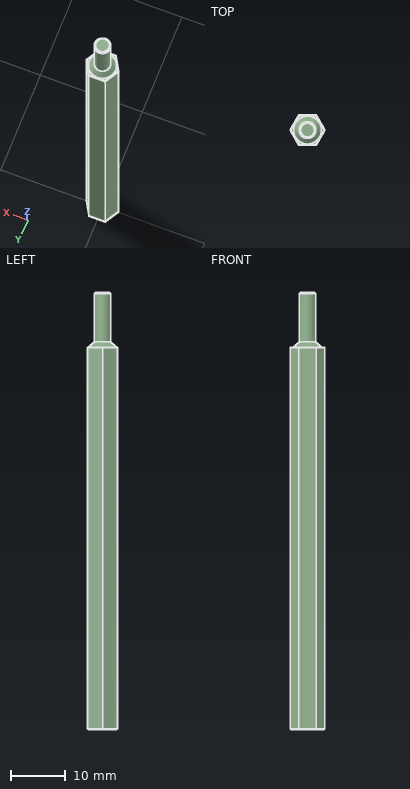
import cadquery as cq
import math

total_length = 80.0
stud_length = 10.0
across_flats = 5.5
stud_diameter = 3.0
stud_tip_chamfer = 0.25
collar_base_diameter = 5.1
collar_height = 1.0
bar_foot_chamfer = 0.2
bar_shoulder_chamfer = 0.1

body_length = total_length - stud_length
across_corners = across_flats / math.cos(math.radians(30))


def hex_body():
    """Hexagonal bar with corners on the X axis and both end rims chamfered."""
    bar = cq.Workplane("XY").polygon(6, across_corners).extrude(body_length)
    bar = bar.faces("<Z").edges().chamfer(bar_foot_chamfer)
    return bar.faces(">Z").edges().chamfer(bar_shoulder_chamfer)


def collar_and_stud():
    """Tapered collar rising from the bar into the chamfered round stud."""
    stud_radius = stud_diameter / 2
    profile = [
        (0, body_length),
        (collar_base_diameter / 2, body_length),
        (stud_radius, body_length + collar_height),
        (stud_radius, total_length - stud_tip_chamfer),
        (stud_radius - stud_tip_chamfer, total_length),
        (0, total_length),
    ]
    half_section = cq.Workplane("XZ").polyline(profile).close()
    return half_section.revolve(360, (0, 0, 0), (0, 1, 0))


result = hex_body().union(collar_and_stud())